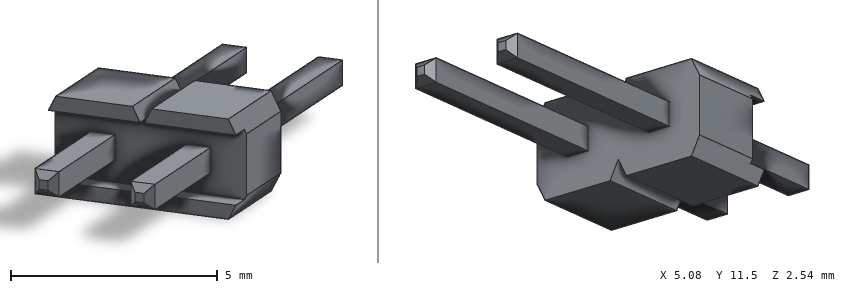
import cadquery as cq


pitch = 2.54
pin_count = 2
housing_height = pitch
housing_depth = pitch
bevel_width = 0.254
bevel_height = 0.49
lip_thickness = 0.381
channel_depth = 0.508

pin_width = 0.64
tip_chamfer = 0.2
front_length = 3.0
rear_length = 6.0

housing_width = pin_count * pitch
front_y = -housing_depth / 2
pin_length = front_length + housing_depth + rear_length
pin_center_y = (rear_length - front_length) / 2
pin_positions = [(i - (pin_count - 1) / 2) * pitch for i in range(pin_count)]


def make_cell(x):
    """One housing cell: an octagonal prism along Y, bevelled at its four corners."""
    half_width = pitch / 2
    half_height = housing_height / 2
    flat_x = half_width - bevel_width
    flat_z = half_height - bevel_height
    outline = [
        (-flat_x, half_height),
        (flat_x, half_height),
        (half_width, flat_z),
        (half_width, -flat_z),
        (flat_x, -half_height),
        (-flat_x, -half_height),
        (-half_width, -flat_z),
        (-half_width, flat_z),
    ]
    return (
        cq.Workplane("XZ")
        .polyline(outline)
        .close()
        .extrude(housing_depth / 2, both=True)
        .translate((x, 0, 0))
    )


def make_pin_blank(x):
    """Square bar over the full pin length, without its pointed ends."""
    return cq.Workplane("XY").box(pin_width, pin_length, pin_width).translate((x, pin_center_y, 0))


def make_pin(x):
    """Square pin with both ends chamfered on all four sides."""
    return make_pin_blank(x).faces("<Y or >Y").chamfer(tip_chamfer)


def make_housing():
    """Row of joined cells with a channel across the front face and a square hole for each pin."""
    housing = make_cell(pin_positions[0])
    for x in pin_positions[1:]:
        housing = housing.union(make_cell(x))

    channel_height = housing_height - 2 * lip_thickness
    channel = (
        cq.Workplane("XY")
        .box(housing_width, channel_depth, channel_height)
        .translate((0, front_y + channel_depth / 2, 0))
    )
    housing = housing.cut(channel)

    for x in pin_positions:
        housing = housing.cut(make_pin_blank(x))
    return housing


housing = make_housing()
pins = [make_pin(x) for x in pin_positions]

result = cq.Compound.makeCompound([housing.solids().val(), *[pin.solids().val() for pin in pins]])